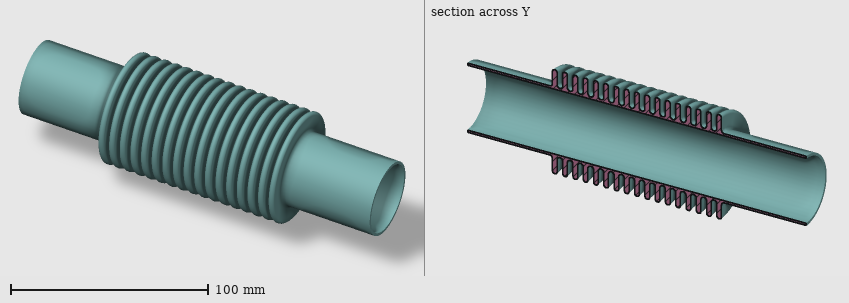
import cadquery as cq
import math

total_length = 200.0
pipe_diameter = 40.0
bore_diameter = 37.0
crest_diameter = 60.0
bellows_length = 103.0
fin_count = 17

pipe_radius = pipe_diameter / 2
bore_radius = bore_diameter / 2
crest_radius = crest_diameter / 2
pitch = bellows_length / fin_count
arc_radius = pitch / 4
arc_diagonal = arc_radius * math.sqrt(0.5)
root_arc_center = pipe_radius + arc_radius
crest_arc_center = crest_radius - arc_radius


def add_fin(profile, start):
    """Draw one fin: concave root arc, flat side, round crest, flat side, root arc."""
    center = start + pitch / 2
    left_side = center - arc_radius
    right_side = center + arc_radius
    end = start + pitch
    return (
        profile
        .threePointArc((start + arc_diagonal, root_arc_center - arc_diagonal), (left_side, root_arc_center))
        .lineTo(left_side, crest_arc_center)
        .threePointArc((center, crest_radius), (right_side, crest_arc_center))
        .lineTo(right_side, root_arc_center)
        .threePointArc((end - arc_diagonal, root_arc_center - arc_diagonal), (end, pipe_radius))
    )


profile = (
    cq.Workplane("XY")
    .moveTo(-total_length / 2, bore_radius)
    .lineTo(-total_length / 2, pipe_radius)
    .lineTo(-bellows_length / 2, pipe_radius)
)
for index in range(fin_count):
    profile = add_fin(profile, -bellows_length / 2 + index * pitch)
profile = (
    profile
    .lineTo(total_length / 2, pipe_radius)
    .lineTo(total_length / 2, bore_radius)
    .close()
)

result = profile.revolve(360, (0, 0, 0), (1, 0, 0))